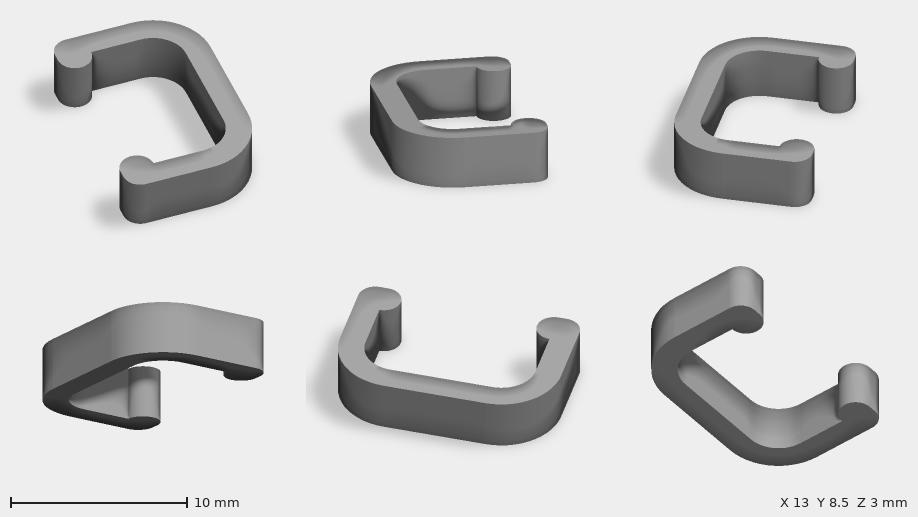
import cadquery as cq
import math

width = 13.0
depth = 8.5
height = 3.0
wall = 1.5
inner_radius = 2.0
tip_radius = 1.0

outer_radius = inner_radius + wall
half_width = width / 2
inner_half_width = half_width - wall
bend_x = half_width - outer_radius
bend_y = depth - outer_radius
tip_corner_x = half_width - tip_radius
bead_top_y = 2 * tip_radius
diagonal = math.sqrt(0.5)


def make_half_clip():
    """Right half of the clip: open side at Y = 0, closed side at Y = depth."""
    profile = (
        cq.Workplane("XY")
        .moveTo(0, depth)
        .lineTo(bend_x, depth)
        .threePointArc(
            (bend_x + outer_radius * diagonal, bend_y + outer_radius * diagonal),
            (half_width, bend_y),
        )
        .lineTo(half_width, tip_radius)
        .threePointArc(
            (tip_corner_x + tip_radius * diagonal, tip_radius - tip_radius * diagonal),
            (tip_corner_x, 0),
        )
        .lineTo(inner_half_width, 0)
        .threePointArc((inner_half_width - tip_radius, tip_radius), (inner_half_width, bead_top_y))
        .lineTo(inner_half_width, bend_y)
        .threePointArc(
            (bend_x + inner_radius * diagonal, bend_y + inner_radius * diagonal),
            (bend_x, depth - wall),
        )
        .lineTo(0, depth - wall)
        .close()
    )
    return profile.extrude(height)


right_half = make_half_clip()
left_half = right_half.mirror("YZ")
result = right_half.union(left_half).clean()